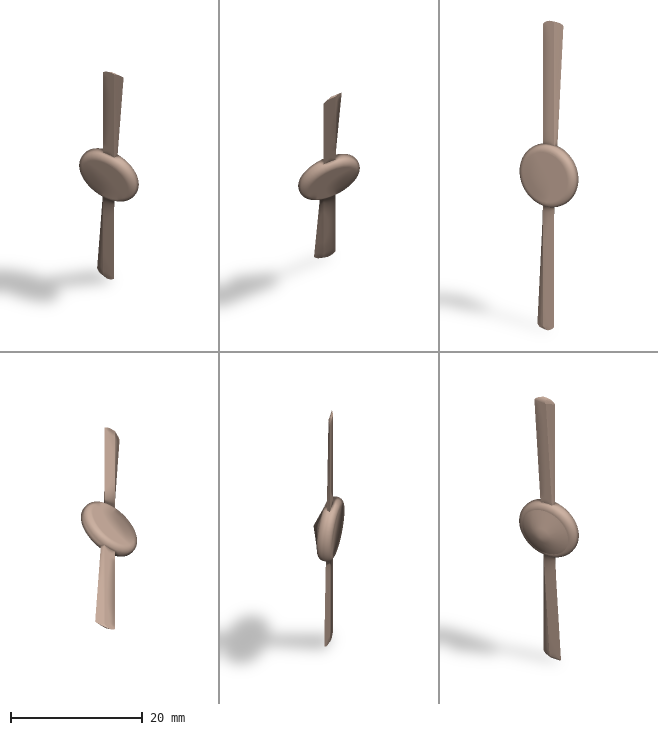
import cadquery as cq
import math

HUB_RADIUS = 5.0
RIM_ROUND = 1.0
RIM_BAND = 0.28
HUB_DEPTH = 3.82
CONE_RADIUS = HUB_RADIUS - RIM_ROUND
CONE_BASE_Y = 2 * RIM_ROUND + RIM_BAND

BLADE_FRONT_Y = 1.0
BLADE_THICKNESS = 0.55
BLADE_BACK_Y = BLADE_FRONT_Y + BLADE_THICKNESS
STRIP_HALF_WIDTH = 1.0
ROOT_Z = 4.0
TIP_Z = 24.905
ROOT_SHIFT = 0.21
TIP_SHIFT = 1.36

SIDE_ROUND_WIDTH = 1.3
SIDE_ROUND_DROP = 0.75
SIDE_ROUND_MID_DROP = 0.18
BACK_ROUND_DROP = 0.85
BACK_ROUND_MID_DROP = 0.16
CUT_MARGIN = 3.0

CREASE_CUT_Z = 24.35
CUT_END_Z = 24.75
STRIP_CUT_X = 0.45
WING_CUT_X = 1.75


def make_hub():
    """Revolve the hub's half profile about the Y axis."""
    corner = RIM_ROUND * math.sqrt(0.5)
    front_center_y = RIM_ROUND
    back_center_y = RIM_ROUND + RIM_BAND
    profile = (
        cq.Workplane("XY")
        .lineTo(CONE_RADIUS, 0)
        .threePointArc(
            (CONE_RADIUS + corner, front_center_y - corner),
            (HUB_RADIUS, front_center_y),
        )
        .lineTo(HUB_RADIUS, back_center_y)
        .threePointArc(
            (CONE_RADIUS + corner, back_center_y + corner),
            (CONE_RADIUS, CONE_BASE_Y),
        )
        .lineTo(0, HUB_DEPTH)
        .close()
    )
    return profile.revolve(360, (0, 0, 0), (0, 1, 0))


def blade_section(z, shift):
    """Corner points of the blade section at height z."""
    return [
        cq.Vector(-STRIP_HALF_WIDTH, BLADE_FRONT_Y, z),
        cq.Vector(STRIP_HALF_WIDTH, BLADE_FRONT_Y, z),
        cq.Vector(STRIP_HALF_WIDTH + shift, BLADE_BACK_Y, z),
        cq.Vector(-STRIP_HALF_WIDTH + shift, BLADE_BACK_Y, z),
    ]


def ruled_solid(lower, upper):
    """Solid between two matching sections, with a straight-ruled face along each side."""
    faces = []
    for section in (lower, upper):
        faces.append(cq.Face.makeFromWires(cq.Wire.makePolygon(section, close=True)))
    for i in range(len(lower)):
        lower_edge = cq.Edge.makeLine(lower[i - 1], lower[i])
        upper_edge = cq.Edge.makeLine(upper[i - 1], upper[i])
        faces.append(cq.Face.makeRuledSurface(lower_edge, upper_edge))
    return cq.Workplane(obj=cq.Solid.makeSolid(cq.Shell.makeShell(faces)).fix())


def make_side_cutter():
    """Removes the corner over the plain side, following the slant of that side at the tip."""
    slant = cq.Vector(TIP_SHIFT, BLADE_THICKNESS, 0)
    profile = (
        cq.Workplane("XZ", origin=(-STRIP_HALF_WIDTH, BLADE_FRONT_Y, TIP_Z))
        .moveTo(SIDE_ROUND_WIDTH, 0)
        .threePointArc((SIDE_ROUND_WIDTH / 2, -SIDE_ROUND_MID_DROP), (0, -SIDE_ROUND_DROP))
        .lineTo(-CUT_MARGIN, -SIDE_ROUND_DROP)
        .lineTo(-CUT_MARGIN, CUT_MARGIN)
        .lineTo(SIDE_ROUND_WIDTH, CUT_MARGIN)
        .close()
    )
    face = cq.Face.makeFromWires(profile.wire().val()).translate(slant * -1)
    return cq.Workplane(obj=cq.Solid.extrudeLinear(face, slant * 3))


def make_back_cutter():
    """Removes the corner over the back of the blade end."""
    return (
        cq.Workplane("YZ", origin=(-HUB_RADIUS, BLADE_FRONT_Y, TIP_Z))
        .threePointArc(
            (BLADE_THICKNESS / 2, -BACK_ROUND_MID_DROP),
            (BLADE_THICKNESS, -BACK_ROUND_DROP),
        )
        .lineTo(CUT_MARGIN, -BACK_ROUND_DROP)
        .lineTo(CUT_MARGIN, CUT_MARGIN)
        .lineTo(0, CUT_MARGIN)
        .close()
        .extrude(2 * HUB_RADIUS)
    )


def make_blade():
    """Upper blade: twisted body with its tip rounded over the side and the back."""
    body = ruled_solid(blade_section(ROOT_Z, ROOT_SHIFT), blade_section(TIP_Z, TIP_SHIFT))
    return body.cut(make_side_cutter()).cut(make_back_cutter())


def make_crease_cutter():
    """Block whose inner face is the slanted corner cut of the lower blade."""
    wing_slope = BLADE_THICKNESS / TIP_SHIFT
    wing_cut_y = BLADE_FRONT_Y + wing_slope * (WING_CUT_X - STRIP_HALF_WIDTH)
    on_crease = cq.Vector(-STRIP_HALF_WIDTH, BLADE_FRONT_Y, -CREASE_CUT_Z)
    on_strip = cq.Vector(-STRIP_CUT_X, BLADE_FRONT_Y, -CUT_END_Z)
    on_wing = cq.Vector(-WING_CUT_X, wing_cut_y, -CUT_END_Z)
    outward = (on_strip - on_crease).cross(on_wing - on_crease)
    if outward.z > 0:
        outward = outward * -1
    plane = cq.Plane(origin=on_crease, normal=outward)
    return cq.Workplane(plane).rect(HUB_RADIUS, HUB_RADIUS).extrude(HUB_RADIUS)


upper_blade = make_blade()
lower_blade = upper_blade.rotate((0, 0, 0), (0, 1, 0), 180).cut(make_crease_cutter())
result = make_hub().union(upper_blade).union(lower_blade)